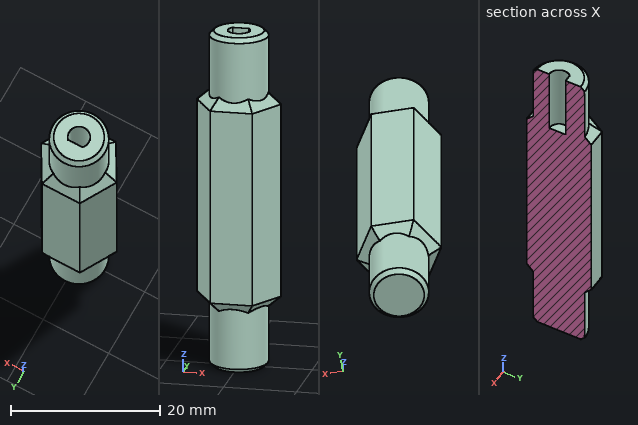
import cadquery as cq
import math

total_length = 47.0
hex_across_flats = 10.0
journal_diameter = 8.0
journal_length = 10.0
end_chamfer = 0.6
bore_diameter = 3.0
bore_flat_offset = 1.05
bore_depth = journal_length

hex_across_corners = hex_across_flats / math.cos(math.pi / 6)
hex_length = total_length - 2 * journal_length
shoulder_angle = 45.0
shoulder_inset = (hex_across_flats - journal_diameter * math.cos(math.pi / 6)) / 2
shoulder_height = shoulder_inset / math.tan(math.radians(shoulder_angle))


def make_journals():
    """Round bar along the full length, chamfered at both ends."""
    bar = cq.Workplane("XY").circle(journal_diameter / 2).extrude(total_length / 2, both=True)
    return bar.faces("|Z").chamfer(end_chamfer)


def make_hexagon():
    """Straight hexagonal grip with corners on the X axis."""
    return cq.Workplane("XY").polygon(6, hex_across_corners).extrude(hex_length / 2, both=True)


def make_upper_shoulder():
    """Six sloped faces running from the hexagon in to the journal."""
    return (
        cq.Workplane("XY")
        .workplane(offset=hex_length / 2)
        .polygon(6, hex_across_corners)
        .extrude(shoulder_height, taper=shoulder_angle)
    )


def make_bore():
    """Blind D-shaped bore in the top end, flat towards +Y."""
    radius = bore_diameter / 2
    half_flat = math.sqrt(radius**2 - bore_flat_offset**2)
    return (
        cq.Workplane("XY")
        .workplane(offset=total_length / 2)
        .moveTo(-half_flat, bore_flat_offset)
        .threePointArc((0, -radius), (half_flat, bore_flat_offset))
        .close()
        .extrude(-bore_depth)
    )


upper_shoulder = make_upper_shoulder()
lower_shoulder = upper_shoulder.mirror("XY")
body = make_journals().union(make_hexagon()).union(upper_shoulder).union(lower_shoulder)
result = body.cut(make_bore())